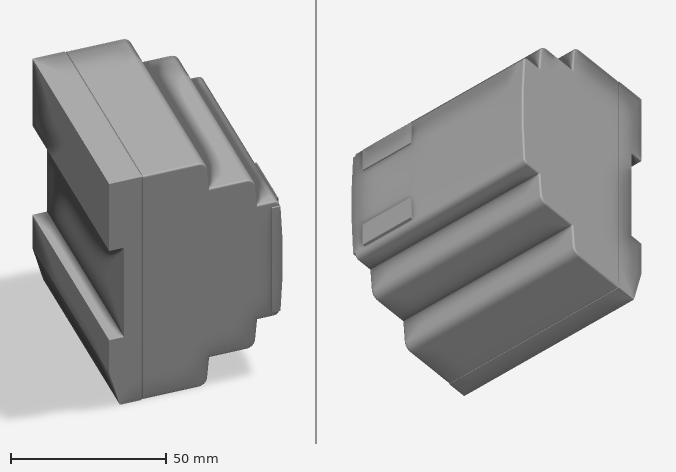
import cadquery as cq
import math

height = 90.0
total_width = 72.0
total_depth = 59.7
strip_thickness = 0.5
body_width = total_width - strip_thickness
mid_height = height / 2

base_depth = 11.2
rail_width = 36.0
rail_depth = 5.0
heel_height = 13.7
heel_setback = 3.7

groove_width = 0.45
groove_depth = 0.3

lower_wall_foot = 34.5
upper_wall_foot = 50.9
front_corner_depth = 58.4
front_crown_depth = 59.4
step_rise = 11.0
wall_tilt = 5.0
step_radius = 3.1
front_radius = 2.0
side_edge_radius = 0.6

pad_left = 46.9
pad_right = 67.05
pad_spread = 41.4
pad_height = 8.8
pad_root_depth = 56.7

strip_length = 42.1
strip_back_depth = 55.7

half_middle_step = mid_height - step_rise
half_front_step = half_middle_step - step_rise
wall_lean = step_rise * math.tan(math.radians(wall_tilt))

FRONT_CORNERS = "|X and (>Z or <Z) and (not <Y)"


def extrude_profile(profile, length):
    """Close a (Y, Z) outline and extrude it from X = 0 toward +X."""
    return profile.close().extrude(length)


def make_base():
    rail_bottom = mid_height - rail_width / 2
    rail_top = mid_height + rail_width / 2
    outline = [
        (base_depth, 0),
        (heel_setback, 0),
        (0, heel_height),
        (0, rail_bottom),
        (rail_depth, rail_bottom),
        (rail_depth, rail_top),
        (0, rail_top),
        (0, height),
        (base_depth, height),
    ]
    return extrude_profile(cq.Workplane("YZ").polyline(outline), body_width)


def make_groove_core():
    """Slightly smaller slab that joins base and cover and leaves the groove around it."""
    return cq.Workplane("XY").box(
        body_width - 2 * groove_depth,
        groove_width,
        height - 2 * groove_depth,
        centered=False,
    ).translate((groove_depth, base_depth, groove_depth))


def front_slab(back_depth, half_height, length):
    """Slab with a flat back and the gently crowned front of the cover."""
    crown_rise = front_crown_depth - front_corner_depth
    crown_radius = (half_front_step**2 + crown_rise**2) / (2 * crown_rise)
    end_drop = crown_radius - math.sqrt(crown_radius**2 - half_height**2)
    end_depth = front_crown_depth - end_drop
    profile = (
        cq.Workplane("YZ")
        .moveTo(back_depth, mid_height + half_height)
        .lineTo(end_depth, mid_height + half_height)
        .threePointArc((front_crown_depth, mid_height), (end_depth, mid_height - half_height))
        .lineTo(back_depth, mid_height - half_height)
    )
    return extrude_profile(profile, length)


def make_step(wall_foot, half_height, back_depth):
    """Full-width step whose front walls lean back by the wall tilt."""
    tip_depth = wall_foot - wall_lean
    half_foot = half_height - step_rise
    outline = [
        (back_depth, mid_height + half_height),
        (tip_depth, mid_height + half_height),
        (wall_foot, mid_height + half_foot),
        (wall_foot, mid_height - half_foot),
        (tip_depth, mid_height - half_height),
        (back_depth, mid_height - half_height),
    ]
    step = extrude_profile(cq.Workplane("YZ").polyline(outline), body_width)
    return step.edges(FRONT_CORNERS).fillet(step_radius)


def make_cover():
    cover_back = base_depth + groove_width
    front = front_slab(cover_back, half_front_step, body_width)
    front = front.edges(FRONT_CORNERS).fillet(front_radius)
    cover = (
        make_step(lower_wall_foot, mid_height, cover_back)
        .union(make_step(upper_wall_foot, half_middle_step, cover_back))
        .union(front)
        .clean()
    )
    side_edges = cover.faces("<X or >X").edges("not(<Y)")
    return cover.newObject(side_edges.vals()).fillet(side_edge_radius)


def make_pad(center_height):
    """Flat pad rooted inside the crowned front."""
    return cq.Workplane("XY").box(
        pad_right - pad_left,
        total_depth - pad_root_depth,
        pad_height,
        centered=(False, False, True),
    ).translate((pad_left, pad_root_depth, center_height))


def make_side_strip():
    """Strip whose root is buried past the rounded side edge of the cover."""
    root = 2 * side_edge_radius
    strip = front_slab(strip_back_depth, strip_length / 2, root + strip_thickness)
    return strip.translate((body_width - root, 0, 0))


result = make_base().union(make_groove_core()).union(make_cover()).union(make_side_strip())
for side in (-1, 1):
    pad_center = mid_height + side * (pad_spread - pad_height) / 2
    result = result.union(make_pad(pad_center))